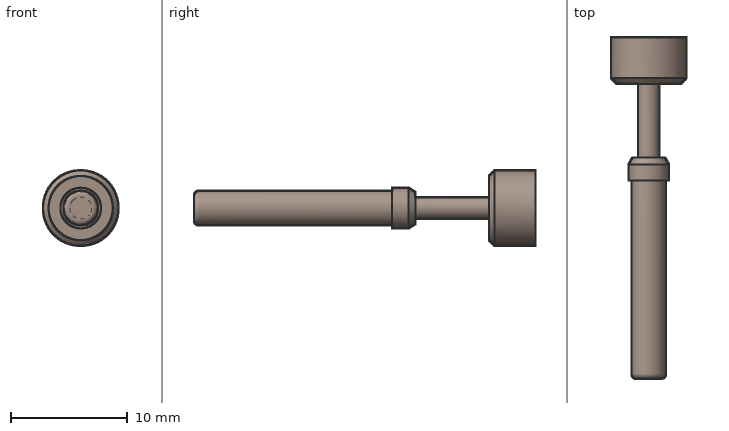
import cadquery as cq

total_length = 29.3
head_length = 4.0
stem_length = 6.3
collar_length = 2.0
barrel_length = total_length - head_length - stem_length - collar_length

head_diameter = 6.5
stem_diameter = 1.88
collar_diameter = 3.5
barrel_diameter = 3.0

head_chamfer = 0.5
collar_chamfer_length = 0.6
collar_chamfer_depth = 0.35
tip_radius = 0.45


def cylinder(diameter, start, length):
    """Solid cylinder around the Y axis, starting at Y = start and growing toward +Y."""
    plane = cq.Plane(origin=(0, start, 0), xDir=(1, 0, 0), normal=(0, 1, 0))
    return cq.Workplane(plane).circle(diameter / 2).extrude(length)


barrel_start = -total_length / 2
collar_start = barrel_start + barrel_length
stem_start = collar_start + collar_length
head_start = stem_start + stem_length

barrel = cylinder(barrel_diameter, barrel_start, barrel_length)
barrel = barrel.faces("<Y").edges().fillet(tip_radius)

collar = cylinder(collar_diameter, collar_start, collar_length)
collar = collar.faces(">Y").edges().chamfer(collar_chamfer_length, collar_chamfer_depth)

stem = cylinder(stem_diameter, stem_start, stem_length)

head = cylinder(head_diameter, head_start, head_length)
head = head.faces("<Y").edges().chamfer(head_chamfer)

result = barrel.union(collar).union(stem).union(head)